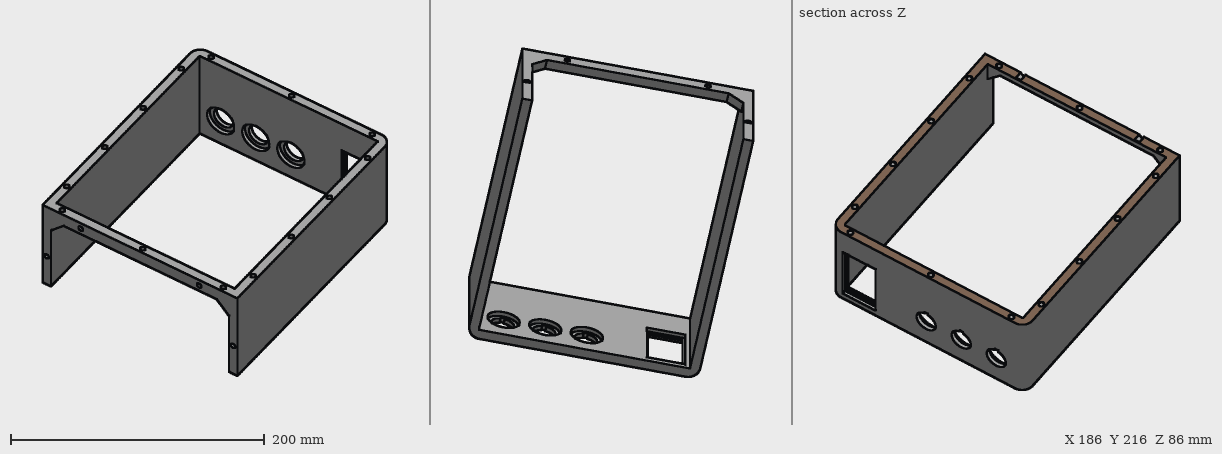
import cadquery as cq

width = 186.0
length = 216.0
height = 86.0
wall = 8.0
rear_corner_radius = 10.0

front_bar_height = 12.0
opening_chamfer = 11.9
opening_height = height - front_bar_height

screw_diameter = 4.3
screw_depth = 6.5
screw_inset = wall / 2
end_screw_spacing = 77.0
side_screw_count = 4
side_screw_spacing = 53.4
bar_screw_offset = 56.5
leg_screw_height = 31.0

connector_recess_depth = 3.9
connector_count = 3
connector_spacing = 33.5
first_connector_x = -65.0
connector_height = 25.0
connector_diameter = 18.1
connector_recess_diameter = 26.0
key_width = 3.2
key_reach = 10.4

window_recess_depth = 3.2
window_lip = 1.5
window_x = 65.9
window_height = 31.3
window_size = (27.9, 46.7)
window_recess_size = (31.3, 50.5)


def make_frame():
    """Rectangular ring of walls with rounded outer rear corners."""
    outer = (
        cq.Workplane("XY")
        .box(width, length, height, centered=(True, False, False))
        .edges("|Z and >Y")
        .fillet(rear_corner_radius)
    )
    cavity = (
        cq.Workplane("XY", origin=(0, wall, 0))
        .box(width - 2 * wall, length - 2 * wall, height, centered=(True, False, False))
    )
    return outer.cut(cavity)


def front_opening():
    """Opening between the front legs, with its upper corners chamfered."""
    return (
        cq.Workplane("XY")
        .box(width - 2 * wall, wall, opening_height, centered=(True, False, False))
        .edges("|Y and >Z")
        .chamfer(opening_chamfer)
    )


def screw_holes(plane, centres):
    """Blind holes going from the plane against its normal."""
    return plane.pushPoints(centres).circle(screw_diameter / 2).extrude(-screw_depth)


def top_screw_holes():
    """Three holes in each end wall and an evenly spaced row in each side wall."""
    side_x = width / 2 - screw_inset
    side_span = (side_screw_count - 1) * side_screw_spacing
    centres = []
    for y in (screw_inset, length - screw_inset):
        for column in (-1, 0, 1):
            centres.append((column * end_screw_spacing, y))
    for x in (-side_x, side_x):
        for row in range(side_screw_count):
            centres.append((x, (length - side_span) / 2 + row * side_screw_spacing))
    return screw_holes(cq.Workplane("XY", origin=(0, 0, height)), centres)


def front_screw_holes():
    """Two holes in the bar and one in each leg."""
    leg_x = width / 2 - screw_inset
    bar_z = height - front_bar_height / 2
    centres = []
    for side in (-1, 1):
        centres.append((side * bar_screw_offset, bar_z))
        centres.append((side * leg_x, leg_screw_height))
    return screw_holes(cq.Workplane("XZ"), centres)


def rear_wall_plane(x, z):
    """Workplane on the inner face of the rear wall, with its normal toward the front."""
    return cq.Workplane("XZ", origin=(x, length - wall, z))


def connector_hole(x):
    """Round bore with a key slot at its top and a round recess on the inner face."""
    plane = rear_wall_plane(x, connector_height)
    bore = plane.circle(connector_diameter / 2).extrude(-wall)
    recess = plane.circle(connector_recess_diameter / 2).extrude(-connector_recess_depth)
    key = (
        rear_wall_plane(x, connector_height + key_reach / 2)
        .rect(key_width, key_reach)
        .extrude(-wall)
    )
    return bore.union(key).union(recess)


def window():
    """Rectangular opening whose recesses leave a thin lip inside the wall."""
    plane = rear_wall_plane(window_x, window_height)
    opening = plane.rect(*window_size).extrude(-wall)
    recesses = plane.rect(*window_recess_size).extrude(-wall)
    lip = (
        plane.workplane(offset=-window_recess_depth)
        .rect(*window_recess_size)
        .extrude(-window_lip)
    )
    return recesses.cut(lip).union(opening)


result = make_frame().cut(front_opening())
result = result.cut(top_screw_holes()).cut(front_screw_holes()).cut(window())
for index in range(connector_count):
    result = result.cut(connector_hole(first_connector_x + index * connector_spacing))